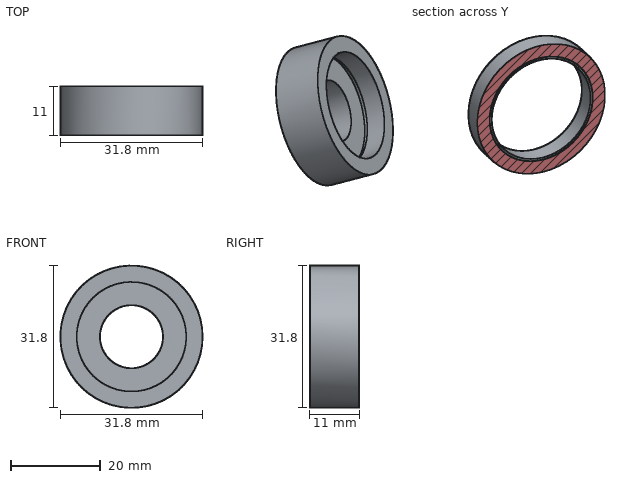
import cadquery as cq

outer_diameter = 31.75
width = 11.0
bore_diameter = 14.0
recess_diameter = 24.4
recess_depth = width / 2
groove_width = 1.0
groove_depth = 0.5
groove_diameter = recess_diameter + 2 * groove_depth


def disc(diameter, start_y, length):
    """Solid disc running from start_y toward +Y."""
    return cq.Workplane("XZ", origin=(0, start_y, 0)).circle(diameter / 2).extrude(-length)


body = disc(outer_diameter, 0, width)
bore = disc(bore_diameter, 0, width)
recess = disc(recess_diameter, 0, recess_depth)

groove = disc(groove_diameter, recess_depth - groove_width, groove_width)

result = body.cut(bore).cut(recess).cut(groove)